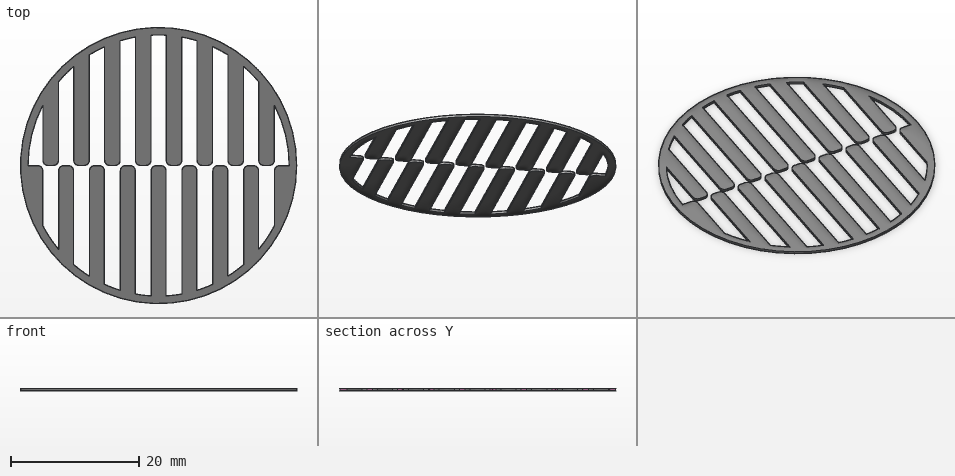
import cadquery as cq

outer_diameter = 43.0
thickness = 0.4
rim_width = 1.2
upper_row_span = 36.05
upper_finger_width = 2.45
tip_radius = 0.8
upper_finger_count = 8

outer_radius = outer_diameter / 2
inner_radius = outer_radius - rim_width
finger_pitch = (upper_row_span - upper_finger_width) / (upper_finger_count - 1)
lower_finger_count = upper_finger_count - 1
lower_finger_width = finger_pitch - upper_finger_width
land_edge = upper_row_span / 2
land_width = outer_radius - land_edge


def centered_positions(count):
    """X positions of evenly pitched fingers, symmetric about the Y axis."""
    return [(i - (count - 1) / 2) * finger_pitch for i in range(count)]


def finger(center_x, width, direction):
    """Bar running from the X axis past the rim, with its tip corners rounded."""
    tip_face = "<Y" if direction > 0 else ">Y"
    return (
        cq.Workplane("XY")
        .center(center_x, direction * outer_radius / 2)
        .rect(width, outer_radius)
        .extrude(thickness)
        .faces(tip_face)
        .edges("|Z")
        .fillet(tip_radius)
    )


def side_land(side):
    """Solid area beside the outermost lower slot, rounded at its inner corner."""
    inner_face = "<X" if side > 0 else ">X"
    return (
        cq.Workplane("XY")
        .center(side * (land_edge + land_width / 2), -outer_radius / 2)
        .rect(land_width, outer_radius)
        .extrude(thickness)
        .faces(inner_face)
        .edges("|Z and >Y")
        .fillet(tip_radius)
    )


disc = cq.Workplane("XY").circle(outer_radius).extrude(thickness)
rim = cq.Workplane("XY").circle(outer_radius).circle(inner_radius).extrude(thickness)

infill = side_land(-1).union(side_land(1))
for x in centered_positions(upper_finger_count):
    infill = infill.union(finger(x, upper_finger_width, 1))
for x in centered_positions(lower_finger_count):
    infill = infill.union(finger(x, lower_finger_width, -1))

result = rim.union(infill.intersect(disc))